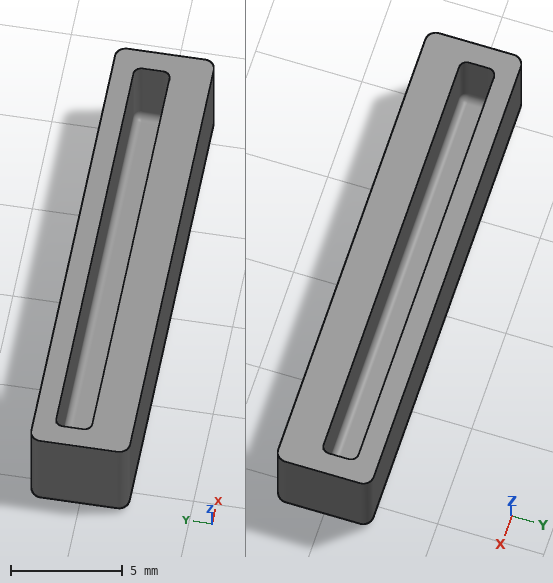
import cadquery as cq

length = 22.5
width = 4.5
height = 4.5
outer_radius = 0.5

wall = 1.0
slot_length = length - 2 * wall
slot_width = 1.65
slot_depth = height - wall
slot_radius = 0.35
slot_center_y = width / 2 - wall - slot_width / 2


def make_block():
    """Block with rounded upright and bottom edges and a sharp top rim."""
    block = cq.Workplane("XY").box(length, width, height, centered=(True, True, False))
    return block.edges("|Z or <Z").fillet(outer_radius)


def make_slot():
    """Slot volume, with rounded corners and a rounded floor."""
    slot = (
        cq.Workplane("XY", origin=(0, slot_center_y, height - slot_depth))
        .box(slot_length, slot_width, slot_depth, centered=(True, True, False))
    )
    return slot.edges("|Z or <Z").fillet(slot_radius)


result = make_block().cut(make_slot())